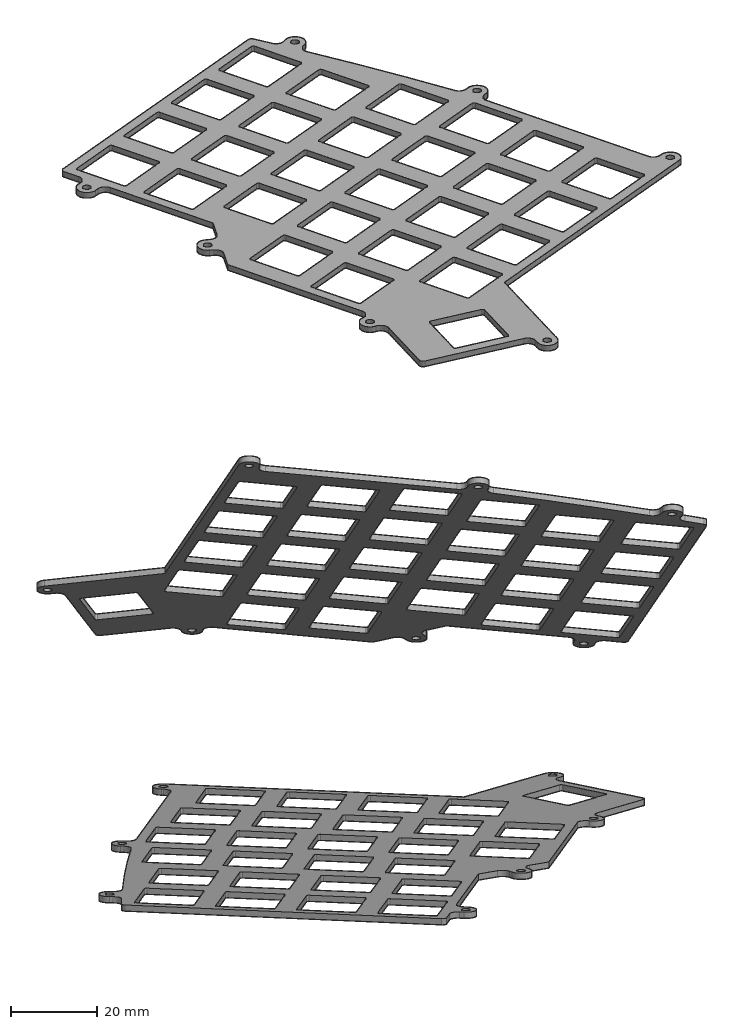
import cadquery as cq
import math

THICKNESS = 1.5
PITCH = 19.05
CUTOUT = 14.0
CUTOUT_RADIUS = 0.5

STAGGER = 2.5
COLUMNS = [
    (0.0, 4),
    (0.0, 4),
    (2 * STAGGER, 4),
    (3 * STAGGER - PITCH, 5),
    (2 * STAGGER - PITCH, 5),
    (STAGGER, 4),
]

LEFT_TOP = 4 * PITCH
BODY_RIGHT = len(COLUMNS) * PITCH
BODY_TOP = 3 * STAGGER + LEFT_TOP
BODY_BOTTOM = 2 * STAGGER - PITCH
SLOPE_END_X = 3 * PITCH
SLOPE_MID_HEIGHT = 80.6
DIAGONAL_LOW_X = 3 * PITCH
DIAGONAL_HIGH_X = DIAGONAL_LOW_X + BODY_BOTTOM
CORNER_RADIUS = 1.0

THUMB_X = 120.14
THUMB_Y = -6.63
THUMB_ANGLE = -30.0
THUMB_HALF_WIDTH = PITCH / 2
THUMB_UNITS = 1.75
THUMB_HALF_HEIGHT = THUMB_UNITS * PITCH / 2

TAB_RADIUS = 2.5
TAB_REACH = 3.0
TAB_ROOT = 1.5
TAB_FILLET = 2.0
ROOT_CLEARANCE = 0.1
HOLE_DIAMETER = 2.0
SLOPE_TAB_Y = 80.7
SLOPE_TAB_DIRECTION = 100
LOWER_TAB_X = 99.5
LOWER_TAB_DIRECTION = -105


def thumb_point(across, up):
    """Plate position of a point given in the turned thumb cell's own axes."""
    angle = math.radians(THUMB_ANGLE)
    x = THUMB_X + across * math.cos(angle) - up * math.sin(angle)
    y = THUMB_Y + across * math.sin(angle) + up * math.cos(angle)
    return (x, y)


def thumb_x_at(height, up):
    """X where the thumb cell edge at local height 'up' crosses plate height 'height'."""
    start_x, start_y = thumb_point(0, up)
    return start_x + (height - start_y) / math.tan(math.radians(THUMB_ANGLE))


def thumb_y_at(x, up):
    """Y where the thumb cell edge at local height 'up' crosses plate position 'x'."""
    start_x, start_y = thumb_point(0, up)
    return start_y + (x - start_x) * math.tan(math.radians(THUMB_ANGLE))


DIAGONAL_SHIFT = TAB_REACH / math.sqrt(2)
DIAGONAL_MID_X = (DIAGONAL_LOW_X + DIAGONAL_HIGH_X) / 2
TABS = [
    ((PITCH / 2, SLOPE_TAB_Y), SLOPE_TAB_DIRECTION),
    ((SLOPE_END_X, BODY_TOP + TAB_RADIUS), 90),
    ((BODY_RIGHT - TAB_RADIUS, BODY_TOP + TAB_RADIUS), 90),
    ((PITCH / 2, -TAB_REACH), -90),
    ((DIAGONAL_MID_X - DIAGONAL_SHIFT, BODY_BOTTOM / 2 - DIAGONAL_SHIFT), -135),
    ((LOWER_TAB_X, BODY_BOTTOM - TAB_REACH), LOWER_TAB_DIRECTION),
    (thumb_point(THUMB_HALF_WIDTH + TAB_REACH, THUMB_HALF_HEIGHT - TAB_RADIUS), THUMB_ANGLE),
]


def body():
    """Main outline with its three exposed corners rounded."""
    outline = (
        cq.Workplane("XY")
        .moveTo(0, 0)
        .lineTo(DIAGONAL_HIGH_X, 0)
        .lineTo(DIAGONAL_LOW_X, BODY_BOTTOM)
        .lineTo(thumb_x_at(BODY_BOTTOM, -THUMB_HALF_HEIGHT), BODY_BOTTOM)
        .lineTo(*thumb_point(THUMB_HALF_WIDTH, -THUMB_HALF_HEIGHT))
        .lineTo(*thumb_point(THUMB_HALF_WIDTH, THUMB_HALF_HEIGHT))
        .lineTo(BODY_RIGHT, thumb_y_at(BODY_RIGHT, THUMB_HALF_HEIGHT))
        .lineTo(BODY_RIGHT, BODY_TOP)
        .lineTo(SLOPE_END_X, BODY_TOP)
        .threePointArc((SLOPE_END_X / 2, SLOPE_MID_HEIGHT), (0, LEFT_TOP))
        .close()
    )
    corners = [(0, 0), (0, LEFT_TOP), thumb_point(THUMB_HALF_WIDTH, -THUMB_HALF_HEIGHT)]
    plate = outline.extrude(THICKNESS)
    for corner in corners:
        nearest = cq.selectors.NearestToPointSelector((*corner, THICKNESS / 2))
        plate = plate.edges("|Z").edges(nearest).fillet(CORNER_RADIUS)
    return plate


def tab(centre, direction):
    """Round screw tab with a straight neck running back into the body."""
    length = TAB_REACH + TAB_ROOT
    neck = cq.Workplane("XY").center(-length / 2, 0).rect(length, 2 * TAB_RADIUS).extrude(THICKNESS)
    end = cq.Workplane("XY").circle(TAB_RADIUS).extrude(THICKNESS)
    return end.union(neck).rotate((0, 0, 0), (0, 0, 1), direction).translate((*centre, 0))


def cutout(x, y, angle=0.0):
    """Cutter for one square key opening."""
    block = cq.Workplane("XY").rect(CUTOUT, CUTOUT).extrude(THICKNESS).edges("|Z").fillet(CUTOUT_RADIUS)
    return block.rotate((0, 0, 0), (0, 0, 1), angle).translate((x, y, 0))


def at_tab_root(edge, centre):
    """True for the edges where a tab's neck meets the body outline."""
    position = edge.Center()
    distance = math.hypot(position.x - centre[0], position.y - centre[1])
    return TAB_RADIUS + ROOT_CLEARANCE < distance < TAB_RADIUS + TAB_REACH


def with_tab(plate, centre, direction):
    """Plate with one tab added and its neck blended into the outline."""
    joined = plate.union(tab(centre, direction)).clean()
    return joined.edges("|Z").filter(lambda edge: at_tab_root(edge, centre)).fillet(TAB_FILLET)


def key_cutouts():
    """Centre and angle of every key opening."""
    places = [(THUMB_X, THUMB_Y, THUMB_ANGLE)]
    for column, (base, count) in enumerate(COLUMNS):
        for row in range(count):
            places.append(((column + 0.5) * PITCH, base + (row + 0.5) * PITCH, 0.0))
    return places


result = body()
for centre, direction in TABS:
    result = with_tab(result, centre, direction)

for place in key_cutouts():
    result = result.cut(cutout(*place))

hole_centres = [centre for centre, _ in TABS]
screw_holes = cq.Workplane("XY").pushPoints(hole_centres).circle(HOLE_DIAMETER / 2).extrude(THICKNESS)
result = result.cut(screw_holes)